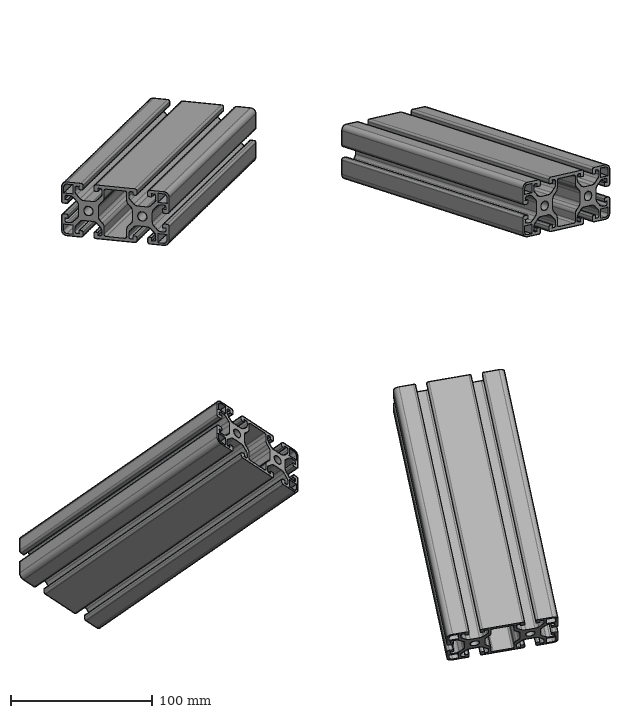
import cadquery as cq
import math

length = 200.0
cell = 40.0
width = 2 * cell
height = cell
corner_radius = 4.0
half_cell = cell / 2

bore_diameter = 6.8
core_half = 7.5
diagonal_offset = 2.5

mouth_half = 4.0
slot_half = 10.0
flange_thickness = 2.5
lip_depth = 4.8
lip_width = 3.0
mouth_edge_radius = 1.5
lip_tip_radius = 1.0
slot_corner_radius = 1.5
rib_fillet = 4.0

web_thickness = 1.5
corner_wall = 1.5
corner_chamber_radius = corner_radius - corner_wall

point_tolerance = 2e-06


def corner_tangents(before, corner, after, radius):
    """Return the start, middle and end of the arc that rounds a corner; all equal at radius 0."""
    if radius == 0:
        return corner, corner, corner
    length_in = math.dist(corner, before)
    length_out = math.dist(corner, after)
    dir_in = [(b - c) / length_in for b, c in zip(before, corner)]
    dir_out = [(a - c) / length_out for a, c in zip(after, corner)]
    half_angle = math.acos(dir_in[0] * dir_out[0] + dir_in[1] * dir_out[1]) / 2
    setback = radius / math.tan(half_angle)
    middle_distance = radius / math.sin(half_angle) - radius
    bisector = [i + o for i, o in zip(dir_in, dir_out)]
    bisector_length = math.hypot(*bisector)
    start = tuple(c + setback * d for c, d in zip(corner, dir_in))
    middle = tuple(c + middle_distance * d / bisector_length for c, d in zip(corner, bisector))
    end = tuple(c + setback * d for c, d in zip(corner, dir_out))
    return start, middle, end


def rounded_prism(corners):
    """Extrude a closed outline of (x, z, radius) corners over the bar length, the first one sharp."""
    points = [(x, z) for x, z, _ in corners]
    position = points[0]
    outline = cq.Workplane("XZ").moveTo(*position)
    for i in range(1, len(corners)):
        radius = corners[i][2]
        after = points[(i + 1) % len(points)]
        start, middle, end = corner_tangents(points[i - 1], points[i], after, radius)
        if math.dist(position, start) > point_tolerance:
            outline = outline.lineTo(*start)
        if radius > 0:
            outline = outline.threePointArc(middle, end)
        position = end
    return outline.close().extrude(length / 2, both=True)


def make_body():
    """Solid bar with its four long edges rounded."""
    return cq.Workplane("XY").box(width, length, height).edges("|Y").fillet(corner_radius)


def make_slot():
    """T-slot opening upward from a cell centred on the origin."""
    ceiling = half_cell - flange_thickness
    lip_end = half_cell - lip_depth
    lip_back = mouth_half + lip_width
    right_side = [
        (mouth_half + mouth_edge_radius, half_cell, 0),
        (mouth_half, half_cell, mouth_edge_radius),
        (mouth_half, lip_end, lip_tip_radius),
        (lip_back, lip_end, 0),
        (lip_back, ceiling, 0),
        (slot_half, ceiling, slot_corner_radius),
        (slot_half, slot_half + diagonal_offset, rib_fillet),
        (core_half - diagonal_offset, core_half, rib_fillet),
    ]
    left_side = [(-x, z, radius) for x, z, radius in reversed(right_side)]
    return rounded_prism(right_side + left_side)


def make_corner_chamber():
    """Square chamber in the upper right corner, rounded along the bar's outer corner."""
    inner = slot_half + web_thickness
    outer = half_cell - corner_wall
    corners = [
        (inner, inner, 0),
        (outer, inner, 0),
        (outer, outer, corner_chamber_radius),
        (inner, outer, 0),
    ]
    return rounded_prism(corners).translate((half_cell, 0, 0))


def make_middle_chamber():
    """Central chamber between the two cells, narrowed by the cores on either side."""
    ceiling = half_cell - flange_thickness
    wall = half_cell - slot_half - web_thickness
    waist = half_cell - core_half
    wall_bottom = slot_half + web_thickness - diagonal_offset
    waist_top = core_half - diagonal_offset
    upper_right = [
        (wall, ceiling, slot_corner_radius),
        (wall, wall_bottom, rib_fillet),
        (waist, waist_top, rib_fillet),
    ]
    lower_right = [(x, -z, radius) for x, z, radius in reversed(upper_right)]
    right_side = upper_right + lower_right
    left_side = [(-x, z, radius) for x, z, radius in reversed(right_side)]
    return rounded_prism([(0, ceiling, 0)] + right_side + left_side)


result = make_body().cut(make_middle_chamber())

slot = make_slot()
bore = cq.Workplane("XZ").circle(bore_diameter / 2).extrude(length / 2, both=True)
for side, end_angle in ((-1, -90), (1, 90)):
    cell_centre = (side * half_cell, 0, 0)
    for angle in (0, 180, end_angle):
        turned_slot = slot.rotate((0, 0, 0), (0, 1, 0), angle)
        result = result.cut(turned_slot.translate(cell_centre))
    result = result.cut(bore.translate(cell_centre))

right_chamber = make_corner_chamber()
for chamber in (right_chamber, right_chamber.mirror("YZ")):
    result = result.cut(chamber).cut(chamber.mirror("XY"))